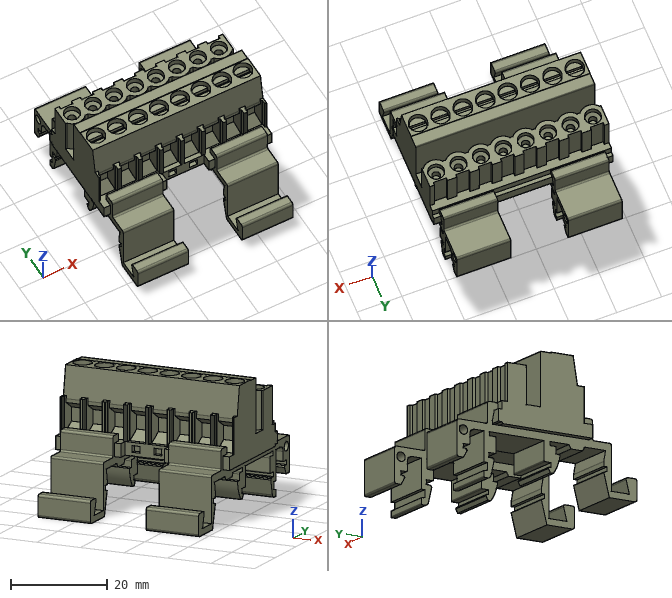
import cadquery as cq


block_length = 40.0
pole_count = 8
pole_pitch = block_length / pole_count
pole_centers = [pole_pitch * (i + 0.5) for i in range(pole_count)]

block_top = 28.8
top_step = 0.17
rear_top_radius = 0.17
top_ridge_y = 21.75
tower_rear_y = 24.45
tower_front_y = 16.45
slope_foot_y = 15.4
rib_top = 22.5
block_front_y = 13.7
flange_front_y = 11.65
flange_top = 14.65
deck_top = 16.65
rear_lip_y = 33.75
rear_foot_y = 34.6
rear_step_top = 14.8
foot_undercut_height = 0.4
foot_undercut_run = 0.75

socket_row_top = 25.1
socket_row_rear_y = 32.4
socket_row_front_y = 27.8
socket_center_y = 29.6
socket_boss_radius = 2.8
socket_diameter = 3.5
socket_depth = 1.3
pin_diameter = 1.8
pin_depth = 1.75
cone_depth = 0.45
notch_width = 2.9
notch_depth = 0.65

screw_center_y = 19.45
screw_hole_diameter = 4.0
screw_head_diameter = 3.8
screw_sink = 1.22
screw_gap_depth = 0.87
screw_slot_width = 0.87
screw_slot_depth = 0.87

rib_width = 0.87
rib_chamfer = 0.2
bay_width = pole_pitch - rib_width
entry_lip_top = 21.85
entry_lip_bottom = 21.0
funnel_front_y = 14.8
funnel_depth = 2.1
funnel_width = 3.85
port_width = 2.7
port_bottom = 16.7
port_top = 19.75
window_width = 1.8
window_bottom = 12.5
window_top = 13.95
window_depth = 1.1
window_poles = pole_centers[3:5]
flange_length = 3 * pole_pitch
tower_slope = (tower_front_y - slope_foot_y) / (block_top - rib_top)
entry_lip_y = slope_foot_y - tower_slope * (rib_top - entry_lip_top)

clip_width = 12.05
clip_inset = 1.55
clip_starts = [clip_inset, block_length - clip_inset - clip_width]
clip_rear_y = 43.7
plate_top = 11.7
plate_bottom = 10.0
plate_front_y = 6.2
rear_hook_y = 36.3
front_hook_y = 10.8
rear_leg_front_y = 40.65
shoulder_top = 9.15
bore_diameter = 2.0
bore_y = 42.15
bore_z = 9.55
end_radius = 0.45
hook_radius = 0.52
hook_back_radius = 0.35
hook_foot_radius = 0.4
web_radius = 1.22
toe_radius = 0.87
small_radius = 0.2


def extrude_x(points, length, start=0.0):
    """Extrude a closed (Y, Z) outline along +X from the given start."""
    return cq.Workplane("YZ").workplane(offset=start).polyline(points).close().extrude(length)


def box_between(x0, x1, y0, y1, z0, z1):
    """Axis-aligned box given by its limits."""
    return cq.Workplane("XY").box(x1 - x0, y1 - y0, z1 - z0, centered=False).translate((x0, y0, z0))


def cylinder(x, y, z, diameter, height):
    """Upright cylinder standing on height z."""
    return cq.Workplane("XY").center(x, y).circle(diameter / 2).extrude(height).translate((0, 0, z))


def round_corner(body, y, z, radius):
    """Fillet the lengthwise edge that passes through (y, z)."""
    reach = 0.02
    corner = cq.selectors.BoxSelector((-0.45, y - reach, z - reach), (block_length + 0.45, y + reach, z + reach))
    return body.edges("|X").edges(corner).fillet(radius)


def block_body():
    """Long profile with the screw tower at the front and a low deck behind it."""
    undercut_y = rear_foot_y - foot_undercut_run
    rear_strip_z = block_top - top_step
    body = extrude_x([
        (block_front_y, plate_top),
        (undercut_y - foot_undercut_height, plate_top),
        (undercut_y, plate_top + foot_undercut_height),
        (rear_foot_y, plate_top + foot_undercut_height),
        (rear_foot_y, rear_step_top),
        (rear_lip_y, rear_step_top),
        (rear_lip_y, deck_top),
        (tower_rear_y, deck_top),
        (tower_rear_y, rear_strip_z),
        (top_ridge_y, rear_strip_z),
        (top_ridge_y, block_top),
        (tower_front_y, block_top),
        (slope_foot_y, rib_top),
        (block_front_y, rib_top),
    ], block_length)
    return round_corner(body, tower_rear_y, rear_strip_z, rear_top_radius)


def front_flanges():
    """Low ledges that reach under the front hooks of the clips."""
    left = box_between(0, flange_length, flange_front_y, block_front_y, plate_top, flange_top)
    right = left.translate((block_length - flange_length, 0, 0))
    return left.union(right)


def socket_row():
    """Rear wall with a rounded boss in front of every socket and a notch behind it."""
    row = box_between(0, block_length, socket_row_front_y, socket_row_rear_y, deck_top, socket_row_top)
    row_height = socket_row_top - deck_top
    for x in pole_centers:
        boss = cylinder(x, socket_center_y, deck_top, 2 * socket_boss_radius, row_height)
        row = row.union(boss.intersect(box_between(
            0, block_length, 0, socket_center_y, deck_top, socket_row_top)))
    for x in pole_centers:
        row = row.cut(box_between(
            x - notch_width / 2, x + notch_width / 2,
            socket_row_rear_y - notch_depth, socket_row_rear_y, deck_top, socket_row_top))
    return row


def socket_hole(x):
    """Socket that narrows through a cone to a pin hole, as one revolved cut."""
    cone_top = socket_row_top - socket_depth
    cone_bottom = cone_top - cone_depth
    outline = (
        cq.Workplane("XZ")
        .moveTo(0, socket_row_top)
        .lineTo(socket_diameter / 2, socket_row_top)
        .lineTo(socket_diameter / 2, cone_top)
        .lineTo(pin_diameter / 2, cone_bottom)
        .lineTo(pin_diameter / 2, cone_bottom - pin_depth)
        .lineTo(0, cone_bottom - pin_depth)
        .close()
    )
    return outline.revolve(360, (0, 0, 0), (0, 1, 0)).translate((x, socket_center_y, 0))


def screw_recess(x):
    """Screw hole cut that leaves a slotted screw head standing at its floor."""
    head_top = block_top - screw_sink
    gap_bottom = head_top - screw_gap_depth
    hole = cylinder(x, screw_center_y, gap_bottom, screw_hole_diameter, block_top - gap_bottom)
    head = cylinder(x, screw_center_y, gap_bottom, screw_head_diameter, screw_gap_depth)
    slot = box_between(
        x - screw_head_diameter / 2, x + screw_head_diameter / 2,
        screw_center_y - screw_slot_width / 2, screw_center_y + screw_slot_width / 2,
        head_top - screw_slot_depth, head_top)
    return hole.cut(head.cut(slot))


def wire_entry(x):
    """Cut between two ribs: open front bay and a funnel narrowing to the port."""
    port_y = funnel_front_y + funnel_depth
    bay = box_between(
        x - bay_width / 2, x + bay_width / 2, block_front_y, funnel_front_y, flange_top, rib_top)
    profile = extrude_x([
        (funnel_front_y, flange_top),
        (port_y, port_bottom),
        (port_y, port_top),
        (entry_lip_y, entry_lip_bottom),
        (entry_lip_y, entry_lip_top),
        (slope_foot_y, rib_top),
        (funnel_front_y, rib_top),
    ], funnel_width, x - funnel_width / 2)
    plan = (
        cq.Workplane("XY")
        .polyline([
            (x - funnel_width / 2, funnel_front_y),
            (x + funnel_width / 2, funnel_front_y),
            (x + port_width / 2, port_y),
            (x - port_width / 2, port_y),
        ])
        .close()
        .extrude(rib_top)
    )
    return bay.union(profile.intersect(plan))


def rib_chamfers(x):
    """Wedges that bevel the two front edges of the rib centred on x."""
    half = rib_width / 2
    wedges = cq.Workplane("XY")
    for side in (-1, 1):
        wedges = wedges.union(
            cq.Workplane("XY", origin=(0, 0, flange_top))
            .polyline([
                (x + side * half, block_front_y),
                (x + side * (half - rib_chamfer), block_front_y),
                (x + side * half, block_front_y + rib_chamfer),
            ])
            .close()
            .extrude(rib_top - flange_top)
        )
    return wedges


def terminal_block():
    """Complete block with sockets, screws, wire entries and front windows."""
    block = block_body().union(front_flanges()).union(socket_row())
    for x in pole_centers:
        block = block.cut(socket_hole(x)).cut(screw_recess(x)).cut(wire_entry(x))
    for i in range(pole_count + 1):
        block = block.cut(rib_chamfers(i * pole_pitch))
    for x in window_poles:
        block = block.cut(box_between(
            x - window_width / 2, x + window_width / 2,
            block_front_y, block_front_y + window_depth, window_bottom, window_top))
    return block


def clip_plate():
    """Base plate with a shallow stiffening pad underneath."""
    pad_depth = 0.87
    pad_rear_y = 16.55
    pad_front_y = 12.67
    pad_run = 0.52
    return extrude_x([
        (plate_front_y, plate_top),
        (clip_rear_y, plate_top),
        (clip_rear_y, plate_bottom),
        (pad_rear_y, plate_bottom),
        (pad_rear_y - pad_run, plate_bottom - pad_depth),
        (pad_front_y + pad_run, plate_bottom - pad_depth),
        (pad_front_y, plate_bottom),
        (plate_front_y, plate_bottom),
    ], clip_width)


def rear_hook():
    """Upright behind the block that bends over its rear step."""
    top = 16.5
    hook = extrude_x([
        (rear_hook_y, plate_top),
        (rear_hook_y, top),
        (rear_lip_y, top),
        (rear_lip_y, rear_step_top),
        (34.7, rear_step_top),
        (35.15, 12.5),
        (35.0, plate_top),
    ], clip_width)
    hook = round_corner(hook, rear_hook_y, top, hook_back_radius)
    return round_corner(hook, rear_lip_y, top, hook_radius)


def front_hook():
    """Upright in front of the block that bends over its flange."""
    top = 16.3
    tip_y = 13.6
    hook = extrude_x([
        (front_hook_y, plate_top),
        (front_hook_y, top),
        (tip_y, top),
        (tip_y, flange_top),
        (flange_front_y, flange_top),
        (flange_front_y, plate_top),
    ], clip_width)
    hook = round_corner(hook, front_hook_y, top, hook_radius)
    return round_corner(hook, tip_y, top, hook_radius)


def rear_leg():
    """Leg at the rear end with a barbed foot."""
    bottom = 3.63
    notch_top = 6.55
    leg = extrude_x([
        (clip_rear_y, plate_bottom),
        (clip_rear_y, bottom),
        (42.15, bottom),
        (41.25, 5.2),
        (41.45, 5.55),
        (42.15, 5.65),
        (42.15, notch_top),
        (rear_leg_front_y, notch_top),
        (rear_leg_front_y, plate_bottom),
    ], clip_width)
    leg = round_corner(leg, clip_rear_y, bottom, hook_back_radius)
    return round_corner(leg, rear_leg_front_y, notch_top, small_radius)


def rear_rail_leg():
    """Long leg with a wide shoulder and a hooked, rounded foot."""
    outer_y = 37.25
    toe_y = 35.6
    shoulder_y = 34.25
    neck_y = 35.85
    shoulder_bottom = 5.5
    leg = extrude_x([
        (outer_y, plate_bottom),
        (outer_y, 3.3),
        (36.35, 3.3),
        (36.35, 1.65),
        (outer_y, 1.45),
        (outer_y, 0.0),
        (toe_y, 0.0),
        (34.7, 4.05),
        (34.85, 4.33),
        (35.2, 4.5),
        (36.0, 4.5),
        (36.0, shoulder_bottom),
        (shoulder_y, shoulder_bottom),
        (shoulder_y, shoulder_top),
        (neck_y, shoulder_top),
        (neck_y, plate_bottom),
    ], clip_width)
    leg = round_corner(leg, outer_y, 0.0, small_radius)
    leg = round_corner(leg, toe_y, 0.0, toe_radius)
    for y, z in ((shoulder_y, shoulder_bottom), (shoulder_y, shoulder_top), (neck_y, shoulder_top)):
        leg = round_corner(leg, y, z, small_radius)
    return leg


def front_rail_leg():
    """Shorter leg with a curved nose that guides the rail edge."""
    rear_y = 22.6
    heel_bottom = 5.5
    shoulder_y = 19.65
    neck_y = 21.1
    leg = (
        cq.Workplane("YZ")
        .moveTo(rear_y, plate_bottom)
        .lineTo(rear_y, heel_bottom)
        .lineTo(20.9, heel_bottom)
        .lineTo(20.9, 4.5)
        .lineTo(21.33, 4.5)
        .lineTo(21.55, 4.15)
        .lineTo(21.05, 3.28)
        .lineTo(20.28, 3.28)
        .threePointArc((19.2, 5.35), (18.7, 7.5))
        .lineTo(shoulder_y, 7.5)
        .lineTo(shoulder_y, shoulder_top)
        .lineTo(neck_y, shoulder_top)
        .lineTo(neck_y, plate_bottom)
        .close()
        .extrude(clip_width)
    )
    for y, z in ((rear_y, heel_bottom), (shoulder_y, shoulder_top), (neck_y, shoulder_top)):
        leg = round_corner(leg, y, z, small_radius)
    return leg


def front_arm():
    """Down-swept arm that turns forward into an upturned finger grip."""
    floor_top = 1.45
    finger_top = 5.0
    finger_y = 2.8
    back_y = 7.65
    rib_y = 8.1
    arm = extrude_x([
        (plate_front_y, plate_top),
        (back_y, plate_top),
        (back_y, plate_bottom),
        (rib_y, 7.6),
        (rib_y, 6.55),
        (7.25, 6.55),
        (7.25, 5.65),
        (rib_y, 5.3),
        (6.75, 0.0),
        (0.0, 0.0),
        (0.0, finger_top),
        (finger_y, finger_top),
        (1.9, floor_top),
        (plate_front_y, floor_top),
    ], clip_width)
    arm = round_corner(arm, 0.0, 0.0, hook_radius)
    arm = round_corner(arm, 0.0, finger_top, hook_radius)
    return round_corner(arm, finger_y, finger_top, end_radius)


def rail_clip():
    """Complete clip: plate, legs, arm and hooks, with a bore along the rear leg."""
    clip = clip_plate().union(rear_leg()).union(rear_rail_leg()).union(front_rail_leg())
    clip = clip.union(front_arm()).union(rear_hook()).union(front_hook())
    for y in (clip_rear_y, plate_front_y):
        clip = round_corner(clip, y, plate_top, end_radius)
    for y in (rear_hook_y, front_hook_y):
        clip = round_corner(clip, y, plate_top, hook_foot_radius)
    clip = round_corner(clip, rear_leg_front_y, plate_bottom, web_radius)
    bore = cq.Workplane("YZ").center(bore_y, bore_z).circle(bore_diameter / 2).extrude(clip_width)
    return clip.cut(bore)


result = terminal_block()
for start in clip_starts:
    result = result.union(rail_clip().translate((start, 0, 0)))